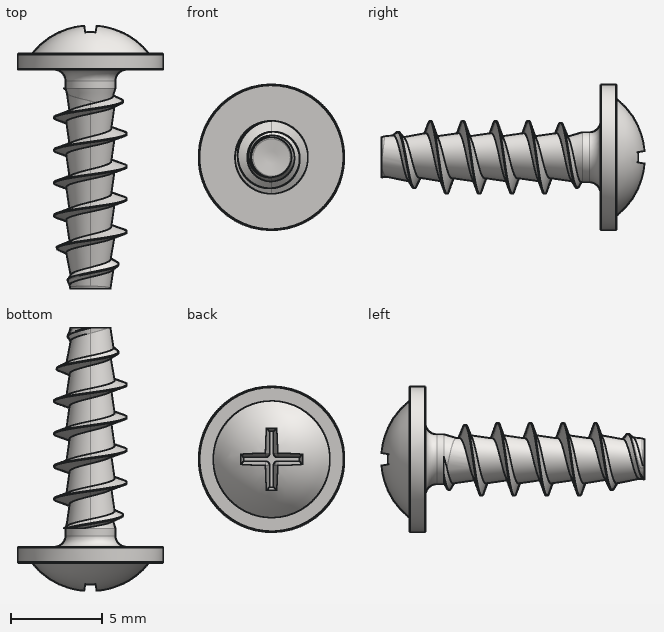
import cadquery as cq
import math


flange_radius = 4.0
flange_thickness = 0.9
flange_chamfer = 0.06
dome_base_radius = 3.2
dome_apex_height = 2.455

wing_length = 1.76
wing_half_width = 0.34
recess_depth = 1.5
recess_taper = 9.0

shank_length = 12.0
neck_radius = 1.375
neck_length = 1.0
neck_fillet = 0.6
neck_cone_end_radius = 1.0
neck_cone_end_depth = 2.3
tip_radius = 1.1
dimple_radius = 1.02
dimple_depth = 0.1

pitch = 1.79
crest_radius = 2.0
crest_width = 0.05
upper_flank_width = 0.27
lower_flank_width = 0.22
root_radius = 1.15
root_shoulder_radius = 1.33
start_radius = 1.62
full_crest_start = 2.6
full_crest_end = 9.32

groove_outer_radius = 2.4
crest_overlap = 0.01
fade_radius = tip_radius - 0.02
turns_above_run_out = 6
turns_below_run_out = 3
points_per_half_turn = 12


def make_head():
    """Chamfered flange carrying a spherical dome."""
    sagitta = dome_apex_height - flange_thickness
    dome_radius = (dome_base_radius**2 + sagitta**2) / (2 * sagitta)
    dome_center = dome_apex_height - dome_radius
    mid_radius = dome_base_radius / 2
    mid_height = dome_center + math.sqrt(dome_radius**2 - mid_radius**2)
    flange = (
        cq.Workplane("XY")
        .circle(flange_radius)
        .extrude(flange_thickness)
        .edges()
        .chamfer(flange_chamfer)
    )
    dome = (
        cq.Workplane("XZ")
        .moveTo(0, 0)
        .lineTo(0, dome_apex_height)
        .threePointArc((mid_radius, mid_height), (dome_base_radius, flange_thickness))
        .lineTo(dome_base_radius, flange_thickness / 2)
        .lineTo(0, flange_thickness / 2)
        .close()
        .revolve(360, (0, 0), (0, 1))
    )
    return flange.union(dome)


def make_recess():
    """Tapered cross recess, sunk from the top of the dome."""
    length = 2 * wing_length
    width = 2 * wing_half_width
    cross = cq.Sketch().rect(length, width).rect(width, length).clean()
    return (
        cq.Workplane("XY", origin=(0, 0, dome_apex_height))
        .placeSketch(cross)
        .extrude(-recess_depth, taper=recess_taper)
    )


def make_neck():
    """Neck with its fillet under the head and the cone that leads into the threaded core."""
    overlap = flange_thickness / 2
    fillet_mid = neck_fillet * (1 - math.sqrt(0.5))
    return (
        cq.Workplane("XZ")
        .moveTo(0, overlap)
        .lineTo(neck_radius + neck_fillet, overlap)
        .lineTo(neck_radius + neck_fillet, 0)
        .threePointArc((neck_radius + fillet_mid, -fillet_mid), (neck_radius, -neck_fillet))
        .lineTo(neck_radius, -neck_length)
        .lineTo(neck_cone_end_radius, -neck_cone_end_depth)
        .lineTo(0, -neck_cone_end_depth)
        .close()
        .revolve(360, (0, 0), (0, 1))
    )


def interpolate(height, upper, lower):
    """Value at a height between two (height, value) points, held constant beyond them."""
    fraction = (upper[0] - height) / (upper[0] - lower[0])
    fraction = min(max(fraction, 0), 1)
    return upper[1] + fraction * (lower[1] - upper[1])


def crest_at(height):
    """Radius reached by the flanks of a turn, growing in at the neck and fading at the tip."""
    run_in = interpolate(height, (-neck_length, start_radius), (-full_crest_start, crest_radius))
    run_out = interpolate(height, (-full_crest_end, crest_radius), (-shank_length, fade_radius))
    return min(run_in, run_out) + crest_overlap


def shoulder_at(height):
    """Root radius just below a turn."""
    fade_start = -full_crest_end - pitch / 2
    return interpolate(height, (fade_start, root_shoulder_radius), (-shank_length, fade_radius))


def root_at(height):
    """Root radius just above a turn."""
    return interpolate(height, (-full_crest_end, root_radius), (-shank_length, fade_radius))


def outside_at(_):
    """Radius of the open side of the groove, clear of the thread."""
    return groove_outer_radius


def make_groove():
    """Helical groove between the thread turns.

    Its floor tapers inward toward the head, and its flanks get lower where the thread fades.
    """
    half_crest = crest_width / 2
    upper_base = half_crest + upper_flank_width
    lower_base = -half_crest - lower_flank_width
    profile = [
        (outside_at, 0, -half_crest),
        (crest_at, 0, -half_crest),
        (shoulder_at, 0, lower_base),
        (root_at, -pitch, upper_base),
        (crest_at, -pitch, half_crest),
        (outside_at, -pitch, half_crest),
    ]
    top_height = -full_crest_end + turns_above_run_out * pitch

    def corner_point(corner, half_turns):
        radius_at, crest_drop, rise = corner
        crest_height = top_height - half_turns * pitch / 2 + crest_drop
        angle = half_turns * math.pi
        radius = radius_at(crest_height)
        return cq.Vector(-radius * math.sin(angle), -radius * math.cos(angle), crest_height + rise)

    def corner_edge(corner, segment):
        steps = range(points_per_half_turn + 1)
        return cq.Edge.makeSpline(
            [corner_point(corner, segment + step / points_per_half_turn) for step in steps]
        )

    segments = 2 * (turns_above_run_out + turns_below_run_out)
    faces = []
    for segment in range(segments):
        edges = [corner_edge(corner, segment) for corner in profile]
        for index, edge in enumerate(edges):
            faces.append(cq.Face.makeRuledSurface(edges[index - 1], edge))
    for end in (0, segments):
        corners = [corner_point(corner, end) for corner in profile]
        faces.append(cq.Face.makeFromWires(cq.Wire.makePolygon(corners, close=True)))
    return cq.Workplane(cq.Solid.makeSolid(cq.Shell.makeShell(faces)))


def make_thread_envelope():
    """Run-in cone, full-crest cylinder and run-out cone that bound the thread."""
    return (
        cq.Workplane("XZ")
        .moveTo(0, -neck_length)
        .lineTo(start_radius, -neck_length)
        .lineTo(crest_radius, -full_crest_start)
        .lineTo(crest_radius, -full_crest_end)
        .lineTo(tip_radius, -shank_length)
        .lineTo(0, -shank_length)
        .close()
        .revolve(360, (0, 0), (0, 1))
    )


def make_tip_dimple():
    """Shallow conical hollow in the end face of the shank."""
    return (
        cq.Workplane("XZ")
        .moveTo(0, -shank_length)
        .lineTo(dimple_radius, -shank_length)
        .lineTo(0, -shank_length + dimple_depth)
        .close()
        .revolve(360, (0, 0), (0, 1))
    )


head = make_head().cut(make_recess())
thread = make_thread_envelope().cut(make_groove())
screw = head.union(make_neck()).union(thread).cut(make_tip_dimple())
result = screw.rotate((0, 0, 0), (1, 0, 0), -90)